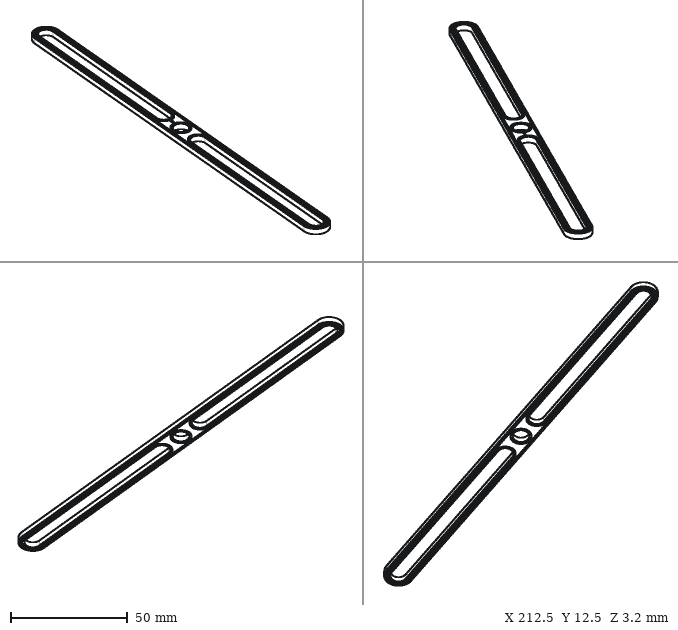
import cadquery as cq

length = 212.5
width = 12.5
thickness = 3.2

opening_width = 7.0
rail_width = (width - opening_width) / 2
slot_outer_end = length / 2 - rail_width
slot_length = 94.1
slot_inner_end = slot_outer_end - slot_length

lip_width = 1.0
lip_height = 0.5
outer_chamfer = 0.35
opening_chamfer = 0.3

rib_width = 0.5

web_height = thickness / 2 - lip_height


def make_bar(inset, height):
    """Flat bar with round ends, its outline moved inwards by the inset."""
    bar_length = length - 2 * inset
    bar_width = width - 2 * inset
    return cq.Workplane("XY").slot2D(bar_length, bar_width).extrude(height / 2, both=True)


def make_openings(border):
    """Solid filling the hole and both slots, widened all round by the border."""
    slot_center = (slot_outer_end + slot_inner_end) / 2
    opening = opening_width + 2 * border
    hole = cq.Workplane("XY").circle(opening / 2).extrude(thickness / 2, both=True)
    slots = (
        cq.Workplane("XY")
        .pushPoints([(-slot_center, 0), (slot_center, 0)])
        .slot2D(slot_length + 2 * border, opening)
        .extrude(thickness / 2, both=True)
    )
    return hole.union(slots)


def make_recesses():
    """Material removed between the lips on the top and bottom faces."""
    between_lips = make_bar(lip_width, thickness).cut(make_openings(lip_width))
    return between_lips.cut(make_bar(0, 2 * web_height))


def make_rib():
    """Straight rib on the X axis, as high as the lips that it joins."""
    rib_start = -slot_inner_end + lip_width / 2
    rib_end = -(opening_width + lip_width) / 2
    return (
        cq.Workplane("XY", origin=((rib_start + rib_end) / 2, 0, web_height))
        .rect(rib_end - rib_start, rib_width)
        .extrude(lip_height)
    )


bar = make_bar(0, thickness).faces("<Z or >Z").chamfer(outer_chamfer)
bar = bar.cut(make_openings(0))
for flat_face in bar.faces("<Z or >Z").vals():
    rims = [edge for wire in flat_face.innerWires() for edge in wire.Edges()]
    bar = bar.newObject(rims).chamfer(opening_chamfer)

result = bar.cut(make_recesses()).union(make_rib()).solids()